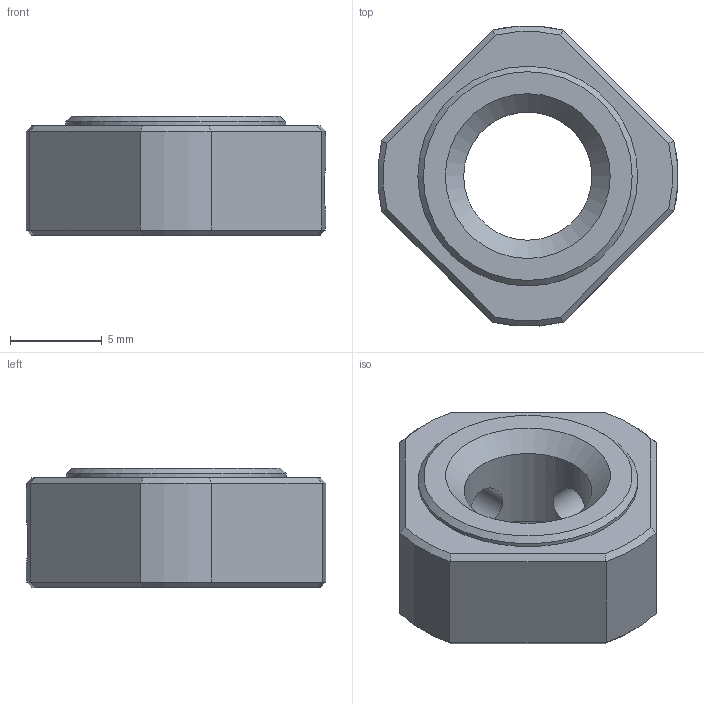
import cadquery as cq

corner_diameter = 16.4
across_flats = 14.0
body_height = 6.0
corner_turn = 45
edge_chamfer = 0.3

collar_diameter = 12.0
collar_height = 0.5
total_height = body_height + collar_height

bore_diameter = 7.0
countersink_diameter = 9.0
countersink_depth = (countersink_diameter - bore_diameter) / 2

screw_hole_diameter = 2.6
screw_hole_height = 2.5


def make_body():
    square = (
        cq.Workplane("XY")
        .rect(across_flats, across_flats)
        .extrude(body_height)
        .rotate((0, 0, 0), (0, 0, 1), corner_turn)
    )
    disc = cq.Workplane("XY").circle(corner_diameter / 2).extrude(body_height)
    return square.intersect(disc).faces("<Z or >Z").chamfer(edge_chamfer)


def make_collar():
    return (
        cq.Workplane("XY")
        .circle(collar_diameter / 2)
        .extrude(total_height)
        .faces(">Z")
        .chamfer(edge_chamfer)
    )


def make_countersink(height, direction):
    """Cone that is widest at the given height and narrows to the bore along the direction."""
    cone = cq.Solid.makeCone(
        countersink_diameter / 2,
        bore_diameter / 2,
        countersink_depth,
        pnt=cq.Vector(0, 0, height),
        dir=direction,
    )
    return cq.Workplane(cone)


def make_bore():
    bore = cq.Workplane("XY").circle(bore_diameter / 2).extrude(total_height)
    top_countersink = make_countersink(total_height, cq.Vector(0, 0, -1))
    bottom_countersink = make_countersink(0, cq.Vector(0, 0, 1))
    return bore.union(top_countersink).union(bottom_countersink)


def make_screw_hole(outward):
    """Cylinder from the part axis out through one corner."""
    hole = cq.Solid.makeCylinder(
        screw_hole_diameter / 2,
        corner_diameter,
        pnt=cq.Vector(0, 0, screw_hole_height),
        dir=outward,
    )
    return cq.Workplane(hole)


result = make_body().union(make_collar()).cut(make_bore())
for outward in (cq.Vector(1, 0, 0), cq.Vector(0, 1, 0)):
    result = result.cut(make_screw_hole(outward))